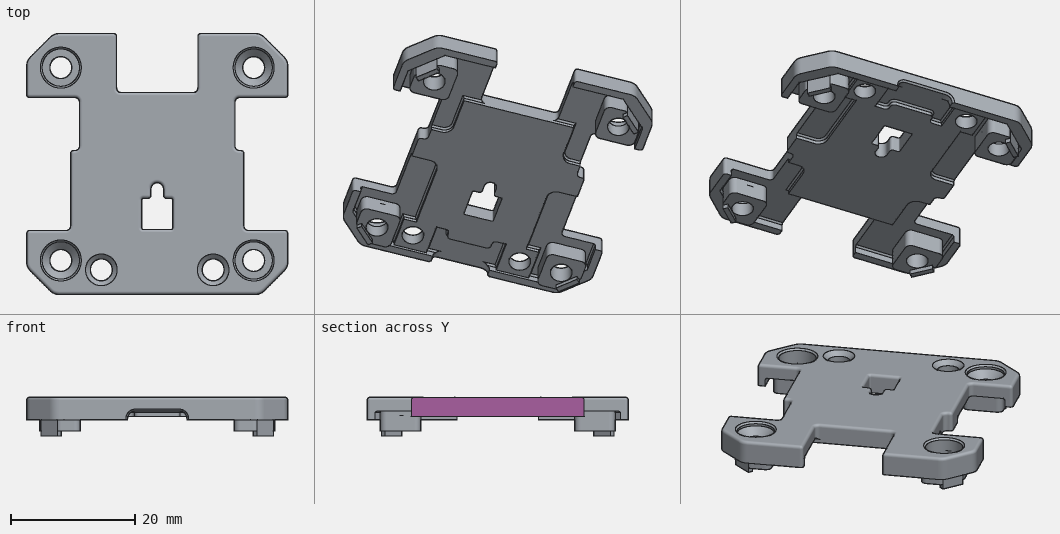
import cadquery as cq
import math

size = 42.0
half = size / 2
total_height = 6.25
foot_depth = 5.45
rim_depth = 3.65
web_depth = 3.15
pocket_ceiling = 2.23
edge_round = 0.5
through = 1.2 * total_height

corner_cut = 4.4
corner_cut_round = 2.0
inner_round = 0.7
arm_edge = 10.65
waist_back = 12.5
waist_front = 13.95
waist_step = 2.2
slot_half = 6.5
slot_floor = 11.5

rim_width = 1.25
ceiling_chamfer = 0.3
island_half = 9.25
island_back = slot_floor
island_front = -14.3
rib_center = 1.35
rib_width = 6.05
rib_round = 1.6
nose_half = 3.65
nose_reach = 1.7
nose_round = 0.67
block_inner = 5.9
block_outer = 11.35
arch_half = 4.75
arch_round = 1.2
arch_chamfer = 0.3
flare_angle = 45.0

foot_inner = 12.35
foot_outer = 18.9
foot_corner_cut = 3.05
foot_round = 1.0
foot_overlap = 0.4
tab_length = 3.82
tab_thickness = 0.85

corner_hole = 15.5
hole_diameter = 3.5
bore_diameter = 6.0
bore_depth = 3.0
bore_chamfer = 0.3
sink_start = 0.67
small_hole_x = 9.0
small_hole_y = -17.0
small_sink_diameter = 5.1

key_half = 2.48
key_bottom = -10.5
key_round = 0.25
key_shoulder = -5.55
key_slot_radius = 1.0
key_arc_center = -4.05


def cut_square(half_width, cut, depth):
    """Square prism with bevelled corners, reaching from Z = 0 down to the depth."""
    square = cq.Workplane("XY").rect(2 * half_width, 2 * half_width).extrude(-depth)
    return square.edges("|Z").chamfer(cut)


def box(x_min, x_max, y_min, y_max, top, bottom):
    """Box given by its side limits and its depths below the top face."""
    block = cq.Workplane("XY").box(x_max - x_min, y_max - y_min, bottom - top, centered=False)
    return block.translate((x_min, y_min, -bottom))


def hole(x, y, diameter, depth):
    """Round cutter from the top face down to the depth."""
    return cq.Workplane("XY").center(x, y).circle(diameter / 2).extrude(-depth)


def cone(x, y, top_diameter, bottom_diameter, top):
    """45 degree cone narrowing downwards from the given depth."""
    height = (top_diameter - bottom_diameter) / 2
    solid = cq.Solid.makeCone(top_diameter / 2, bottom_diameter / 2, height, cq.Vector(x, y, -top),
                              cq.Vector(0, 0, -1))
    return cq.Workplane("XY").add(solid)


def round_corner(body, x, y, depth, radius):
    """Round the vertical edge at X, Y of a body that reaches from Z = 0 down to the depth."""
    corner = cq.selectors.NearestToPointSelector((x, y, -depth / 2))
    return body.edges("|Z").edges(corner).fillet(radius)


def outline_plate():
    """Plate with waist and back slot, all vertical corners and the top edge rounded."""
    plate = cut_square(half, corner_cut, rim_depth)
    plate = plate.edges("|Z").fillet(corner_cut_round)
    openings = box(-slot_half, slot_half, slot_floor, size, 0, through)
    for side in (-1, 1):
        back_x = sorted((side * waist_back, side * size))
        front_x = sorted((side * waist_front, side * size))
        openings = openings.union(box(*back_x, waist_step, arm_edge, 0, through))
        openings = openings.union(box(*front_x, -arm_edge, waist_step, 0, through))
    plate = plate.cut(openings)

    inner_corners = ((slot_half, slot_floor), (waist_back, arm_edge),
                     (waist_back, waist_step), (waist_front, -arm_edge))
    outer_corners = ((slot_half, half), (half, arm_edge), (waist_front, waist_step), (half, -arm_edge))
    for corners, radius in ((inner_corners, inner_round), (outer_corners, edge_round)):
        for x, y in corners:
            for side in (-1, 1):
                plate = round_corner(plate, side * x, y, rim_depth, radius)
    return plate.faces(">Z").edges().fillet(edge_round)


def island():
    """Full-thickness centre with two side ribs, a front nose and two blocks at the front rim."""
    rib_back = rib_center + rib_width / 2
    rib_front = rib_center - rib_width / 2
    core = box(-island_half, island_half, island_front, island_back, 0, through)
    ribs = box(-size, size, rib_front, rib_back, 0, through)
    core = core.union(ribs)
    for x in (-island_half, island_half):
        for y in (rib_front, rib_back):
            core = round_corner(core, x, y, through, rib_round)
    nose_front = island_front - nose_reach
    core = core.union(box(-nose_half, nose_half, nose_front, island_front, 0, through))
    for x in (-nose_half, nose_half):
        for y in (nose_front, island_front):
            core = round_corner(core, x, y, through, nose_round)
    for x in (-block_outer, block_inner):
        core = core.union(box(x, x + block_outer - block_inner, -size, island_front, 0, through))
    return core


def inside_rim(depth):
    """Space enclosed by the outer rim, whose corners are filled up to the feet."""
    inner_half = half - rim_width
    cut = 2 * inner_half - (2 * foot_outer - foot_corner_cut)
    return cut_square(inner_half, cut, depth)


def pockets():
    """Underside pockets around the island, bevelled along their ceilings."""
    space = inside_rim(through).cut(island())
    space = space.cut(cq.Workplane("XY").rect(2 * size, 2 * size).extrude(-pocket_ceiling))
    return space.faces(">Z").edges().chamfer(ceiling_chamfer)


def arch_profile(half_width, ceiling, corner_radius):
    """Arch with rounded upper corners, drawn on the front face and open below."""
    bottom = -through
    return (cq.Workplane("XZ", origin=(0, -half, 0))
            .moveTo(-half_width, bottom)
            .lineTo(-half_width, -ceiling - corner_radius)
            .radiusArc((-half_width + corner_radius, -ceiling), corner_radius)
            .lineTo(half_width - corner_radius, -ceiling)
            .radiusArc((half_width, -ceiling - corner_radius), corner_radius)
            .lineTo(half_width, bottom)
            .close())


def front_arch():
    """Arched opening through the front rim, flared at the outer face."""
    opening = arch_profile(arch_half, pocket_ceiling, arch_round).extrude(-rim_width - ceiling_chamfer)
    mouth = arch_profile(arch_half + arch_chamfer, pocket_ceiling - arch_chamfer, arch_round + arch_chamfer)
    return opening.union(mouth.extrude(-arch_chamfer, taper=flare_angle))


def foot():
    """Foot with its locating tab, for the corner at +X +Y."""
    block = box(foot_inner, foot_outer, foot_inner, foot_outer, pocket_ceiling - foot_overlap, foot_depth)
    block = block.edges("|Z").edges(">(1,1,0)").chamfer(foot_corner_cut)
    block = block.edges("|Z").fillet(foot_round)
    outer_face = (2 * foot_outer - foot_corner_cut) / math.sqrt(2)
    tab = box(outer_face - tab_thickness, outer_face, -tab_length / 2, tab_length / 2,
              rim_depth, total_height)
    return block.union(tab.rotate((0, 0, 0), (0, 0, 1), 45))


def keyhole():
    """Rectangular opening with a round-ended slot towards +Y."""
    opening = (cq.Workplane("XY").moveTo(-key_half, key_bottom)
               .lineTo(key_half, key_bottom)
               .lineTo(key_half, key_shoulder)
               .lineTo(key_slot_radius, key_shoulder)
               .lineTo(key_slot_radius, key_arc_center)
               .threePointArc((0, key_arc_center + key_slot_radius), (-key_slot_radius, key_arc_center))
               .lineTo(-key_slot_radius, key_shoulder)
               .lineTo(-key_half, key_shoulder)
               .close()
               .extrude(-through))
    opening = opening.edges("|Z").edges("<X or >X").fillet(key_round)
    for x in (-key_slot_radius, key_slot_radius):
        opening = round_corner(opening, x, key_shoulder, through, edge_round)
    return opening


def corner_screw(x, y):
    """Screw hole whose head seat is a cone on one diagonal and a flat bore on the other."""
    cutter = hole(x, y, hole_diameter, through)
    cutter = cutter.union(cone(x, y, bore_diameter + 2 * bore_chamfer, bore_diameter, 0))
    if x * y > 0:
        cutter = cutter.union(hole(x, y, bore_diameter, sink_start))
        return cutter.union(cone(x, y, bore_diameter, hole_diameter, sink_start))
    return cutter.union(hole(x, y, bore_diameter, bore_depth))


def small_screw(x, y):
    """Countersunk screw hole without a cylindrical head seat."""
    return hole(x, y, hole_diameter, through).union(cone(x, y, small_sink_diameter, hole_diameter, 0))


body = outline_plate().cut(keyhole())
keyhole_rim = cq.selectors.BoxSelector((-slot_half, island_front, -0.4), (slot_half, 0, 0.4))
body = body.faces(">Z").edges(keyhole_rim).fillet(edge_round)
body = body.cut(inside_rim(through).cut(inside_rim(web_depth)))
body = body.cut(pockets()).cut(front_arch())

for quarter in range(4):
    body = body.union(foot().rotate((0, 0, 0), (0, 0, 1), 90 * quarter))

for x in (-corner_hole, corner_hole):
    for y in (-corner_hole, corner_hole):
        body = body.cut(corner_screw(x, y))
for x in (-small_hole_x, small_hole_x):
    body = body.cut(small_screw(x, small_hole_y))

result = body